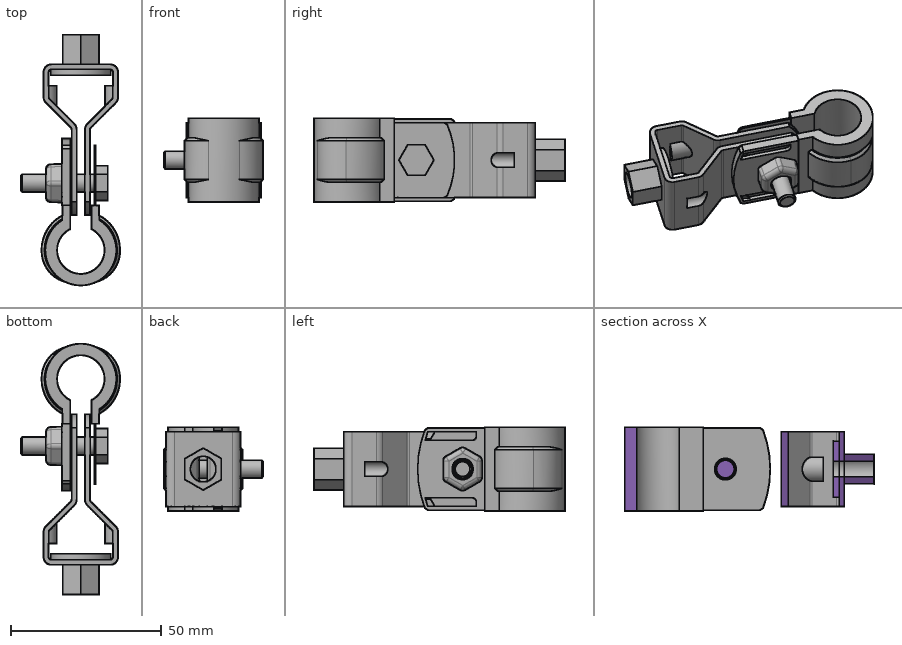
import cadquery as cq
import math


overall_length = 83.5

ring_height = 28.0
ring_outer_radius = 11.8
bore_radius = 7.85
mouth_half_width = 3.5
flange_thickness = 2.6
flange_outer_x = mouth_half_width + flange_thickness
flange_top_y = 14.95

pad_outer_radius = 13.1
pad_height = 14.9
pad_chamfer = 1.0
pad_blend_angle = math.radians(5)
pad_blend_radius = 10.8

bolt_y = 22.3
bolt_diameter = 6.0
bolt_tip_diameter = 4.9
bolt_tip_x = -19.95
head_across_flats = 10.1
head_height = 4.0

plate_half_height = 13.7
plate_inner_x = -mouth_half_width
plate_thickness = 2.75
plate_outer_x = plate_inner_x - plate_thickness
plate_shoulder_y = 34.6
plate_crown_y = 37.2
plate_corner_chamfer = 0.75
boss_height = 5.35
boss_across_flats = 12.9
boss_draft = 2
boss_corner_radius = 1.7
boss_rim_radius = 1.7
boss_hole_diameter = 7.0

recess_depth = 1.3
recess_bottom_y = 17.7
recess_inner_z = 9.5
recess_outer_z = 12.35
recess_end_inner_y = 34.7
recess_end_outer_y = 33.9
wedge_inner_length = 1.8
wedge_outer_length = 2.3
recess_corner_radius = 1.5
wedge_height = 0.6
wedge_inner_z = 10.0

strip_inner_x = 4.4
strip_thickness = 0.6
strip_outer_x = strip_inner_x + strip_thickness
strip_shoulder_y = 32.2
strip_crown_y = 35.0
strip_corner_chamfer = 0.75

sheet = 1.75
bend_inner_radius = 1.0
bend_outer_radius = bend_inner_radius + sheet
bracket_height = 25.0
leg_outer_x = 3.1
leg_knee_y = 40.5
box_outer_x = 12.4
box_knee_y = leg_knee_y + box_outer_x - leg_outer_x
bracket_top_y = 61.9
leg_end_y = 11.7
leg_end_radius = 19.6

rib_outer_radius = 4.25
rib_groove_radius = 2.46
rib_axis_x = 12.23
rib_top_y = 54.8

standoff_top_y = overall_length - ring_outer_radius
standoff_across_flats = 12.1
standoff_bore_diameter = 8.5
disc_diameter = 20.0
disc_thickness = 2.0
bracket_inner_top_y = bracket_top_y - sheet


def x_cylinder(diameter, x_start, x_end):
    """Cylinder along X on the bolt axis."""
    plane = cq.Workplane("YZ", origin=(x_start, bolt_y, 0))
    return plane.circle(diameter / 2).extrude(x_end - x_start)


def y_cylinder(diameter, y_start, y_end):
    """Cylinder along Y through the origin."""
    plane = cq.Workplane("XZ", origin=(0, y_end, 0))
    return plane.circle(diameter / 2).extrude(y_end - y_start)


def hexagon(across_flats):
    """Corners of a hexagon with two of its corners on the second axis."""
    corner_radius = across_flats / math.sqrt(3)
    angles = [math.radians(30 + 60 * i) for i in range(6)]
    return [(corner_radius * math.cos(a), corner_radius * math.sin(a)) for a in angles]


def crowned_tab(x_start, thickness, bottom_y, shoulder_y, crown_y, half_height, corner_chamfer):
    """Flat tab normal to X, whose +Y end is a shallow arc with chamfered corners."""
    return (
        cq.Workplane("YZ", origin=(x_start, 0, 0))
        .moveTo(bottom_y, -half_height)
        .lineTo(shoulder_y, -half_height)
        .threePointArc((crown_y, 0), (shoulder_y, half_height))
        .lineTo(bottom_y, half_height)
        .close()
        .extrude(thickness)
        .edges("|X")
        .edges(">Y")
        .chamfer(corner_chamfer)
    )


def pad():
    """Raised pad on the -X flank: concentric at first, then curving into the ring."""
    blend_x = -pad_outer_radius * math.cos(pad_blend_angle)
    blend_y = -pad_outer_radius * math.sin(pad_blend_angle)
    offset = pad_outer_radius - pad_blend_radius
    center_x = -offset * math.cos(pad_blend_angle)
    center_y = -offset * math.sin(pad_blend_angle)
    diagonal = math.sqrt(0.5)
    end_y = center_y - math.sqrt(pad_blend_radius**2 - center_x**2)
    return (
        cq.Workplane("XY", origin=(0, 0, -pad_height / 2))
        .moveTo(0, pad_outer_radius)
        .threePointArc((-pad_outer_radius * diagonal, pad_outer_radius * diagonal), (blend_x, blend_y))
        .threePointArc(
            (center_x - pad_blend_radius * diagonal, center_y - pad_blend_radius * diagonal),
            (0, end_y),
        )
        .close()
        .extrude(pad_height)
        .faces("|Z")
        .edges("%CIRCLE")
        .chamfer(pad_chamfer)
    )


def make_clamp_ring():
    flanges = cq.Workplane("XY").box(2 * flange_outer_x, flange_top_y, ring_height, (True, False, True))
    mouth = cq.Workplane("XY").box(2 * mouth_half_width, 2 * flange_top_y, ring_height, (True, False, True))
    bore = cq.Workplane("XY").circle(bore_radius).extrude(ring_height / 2, both=True)
    ring = cq.Workplane("XY").circle(ring_outer_radius).extrude(ring_height / 2, both=True)
    left_pad = pad()
    return ring.union(flanges).union(left_pad).union(left_pad.mirror("YZ")).cut(mouth).cut(bore)


def plate_recess():
    """Recess in the +Z half of the side plate, less a wedge that rises from its floor."""
    floor_x = plate_outer_x + recess_depth
    outline = [
        (recess_bottom_y, recess_inner_z),
        (recess_end_inner_y, recess_inner_z),
        (recess_end_outer_y, recess_outer_z),
        (recess_bottom_y, recess_outer_z),
    ]
    pocket = (
        cq.Workplane("YZ", origin=(plate_outer_x, 0, 0))
        .polyline(outline)
        .close()
        .extrude(recess_depth)
        .edges("|X")
        .edges("<Y")
        .edges("<Z")
        .fillet(recess_corner_radius)
    )

    def wedge_section(end_y, length, z):
        crest = (floor_x - wedge_height, end_y - length)
        section = [(floor_x, end_y), crest, (floor_x, end_y - length)]
        return cq.Workplane("XY", origin=(0, 0, z)).polyline(section).close().wire().val()

    wedge = cq.Solid.makeLoft(
        [
            wedge_section(recess_end_inner_y, wedge_inner_length, wedge_inner_z),
            wedge_section(recess_end_outer_y, wedge_outer_length, recess_outer_z),
        ],
        True,
    )
    return pocket.cut(cq.Workplane(wedge))


def make_side_plate():
    plate = crowned_tab(
        plate_outer_x,
        plate_thickness,
        flange_top_y,
        plate_shoulder_y,
        plate_crown_y,
        plate_half_height,
        plate_corner_chamfer,
    )
    boss = (
        cq.Workplane("YZ", origin=(plate_outer_x, bolt_y, 0))
        .polyline(hexagon(boss_across_flats))
        .close()
        .extrude(-boss_height, taper=boss_draft)
        .edges("not #X")
        .fillet(boss_corner_radius)
        .faces("<X")
        .edges()
        .fillet(boss_rim_radius)
    )
    recess = plate_recess()
    hole = x_cylinder(boss_hole_diameter, plate_outer_x - boss_height, plate_inner_x)
    return plate.union(boss).cut(recess).cut(recess.mirror("XY")).cut(hole)


def make_strip():
    strip = crowned_tab(
        strip_inner_x,
        strip_thickness,
        flange_top_y,
        strip_shoulder_y,
        strip_crown_y,
        bracket_height / 2,
        strip_corner_chamfer,
    )
    return strip.cut(x_cylinder(bolt_diameter, strip_inner_x, strip_outer_x))


def make_bolt():
    tip_chamfer = (bolt_diameter - bolt_tip_diameter) / 2
    shank = x_cylinder(bolt_diameter, bolt_tip_x, strip_outer_x).faces("<X").chamfer(tip_chamfer)
    head = (
        cq.Workplane("XY", origin=(strip_outer_x, bolt_y, 0))
        .transformed(rotate=(0, 90, 0))
        .polyline(hexagon(head_across_flats))
        .close()
        .extrude(head_height)
    )
    return shank.union(head)


def bracket_outline(leg_x, knee_y, box_x, box_y, top_y, convex_radius, concave_radius):
    """Prism with the bracket's outline: a box that narrows at 45 degrees to two straight legs."""
    right = [(leg_x, leg_end_y), (leg_x, knee_y), (box_x, box_y), (box_x, top_y)]
    left = [(-x, y) for x, y in reversed(right)]
    prism = (
        cq.Workplane("XY", origin=(0, 0, -bracket_height / 2))
        .polyline(right + left)
        .close()
        .extrude(bracket_height)
    )
    leg_knees = cq.selectors.BoxSelector(
        (-leg_x - 0.8, knee_y - 0.8, -bracket_height), (leg_x + 0.8, knee_y + 0.8, bracket_height)
    )
    box_corners = cq.selectors.BoxSelector(
        (-box_x - 0.8, box_y - 0.8, -bracket_height), (box_x + 0.8, top_y + 0.8, bracket_height)
    )
    prism = prism.edges("|Z").edges(leg_knees).fillet(concave_radius)
    return prism.edges("|Z").edges(box_corners).fillet(convex_radius)


def rib_cylinder(radius, side):
    """Cylinder along Y beside one bracket wall, from the rib's +Y end to the leg knee."""
    plane = cq.Workplane("XZ", origin=(side * rib_axis_x, rib_top_y, 0))
    return plane.circle(radius).extrude(rib_top_y - leg_knee_y)


def make_bracket():
    knee_shift = sheet * math.tan(math.radians(22.5))
    outer = bracket_outline(
        leg_outer_x, leg_knee_y, box_outer_x, box_knee_y, bracket_top_y, bend_outer_radius, bend_inner_radius
    )
    inner = bracket_outline(
        leg_outer_x - sheet,
        leg_knee_y + knee_shift,
        box_outer_x - sheet,
        box_knee_y + knee_shift,
        bracket_inner_top_y,
        bend_inner_radius,
        bend_outer_radius,
    )
    bracket = outer.cut(inner)

    for side in (-1, 1):
        bracket = bracket.union(rib_cylinder(rib_outer_radius, side).intersect(outer))
        bracket = bracket.cut(rib_cylinder(rib_groove_radius, side))

    half_height = bracket_height / 2
    end_center_y = leg_end_y + leg_end_radius
    end_corner_y = end_center_y - math.sqrt(leg_end_radius**2 - half_height**2)
    envelope = (
        cq.Workplane("YZ", origin=(-box_outer_x, 0, 0))
        .moveTo(end_corner_y, half_height)
        .threePointArc((leg_end_y, 0), (end_corner_y, -half_height))
        .lineTo(bracket_top_y, -half_height)
        .lineTo(bracket_top_y, half_height)
        .close()
        .extrude(2 * box_outer_x)
    )
    bracket = bracket.intersect(envelope)
    bracket = bracket.cut(x_cylinder(bolt_diameter, -leg_outer_x, leg_outer_x))
    return bracket.cut(y_cylinder(standoff_bore_diameter, bracket_inner_top_y, bracket_top_y))


def make_standoff():
    length = standoff_top_y - bracket_top_y
    plane = cq.Workplane("XZ", origin=(0, standoff_top_y, 0))
    body = plane.polyline(hexagon(standoff_across_flats)).close().extrude(length)
    return body.cut(y_cylinder(standoff_bore_diameter, bracket_top_y, standoff_top_y))


def make_disc():
    face_y = bracket_inner_top_y - disc_thickness
    disc = y_cylinder(disc_diameter, face_y, bracket_inner_top_y)
    return disc.cut(y_cylinder(standoff_bore_diameter, face_y, bracket_inner_top_y))


clamp_ring = make_clamp_ring()
side_plate = make_side_plate()
strip = make_strip()
bolt = make_bolt()
bracket = make_bracket()
standoff = make_standoff()
disc = make_disc()

result = cq.Compound.makeCompound(
    [
        clamp_ring.val(),
        side_plate.val(),
        strip.val(),
        bolt.val(),
        bracket.val(),
        standoff.val(),
        disc.val(),
    ]
)